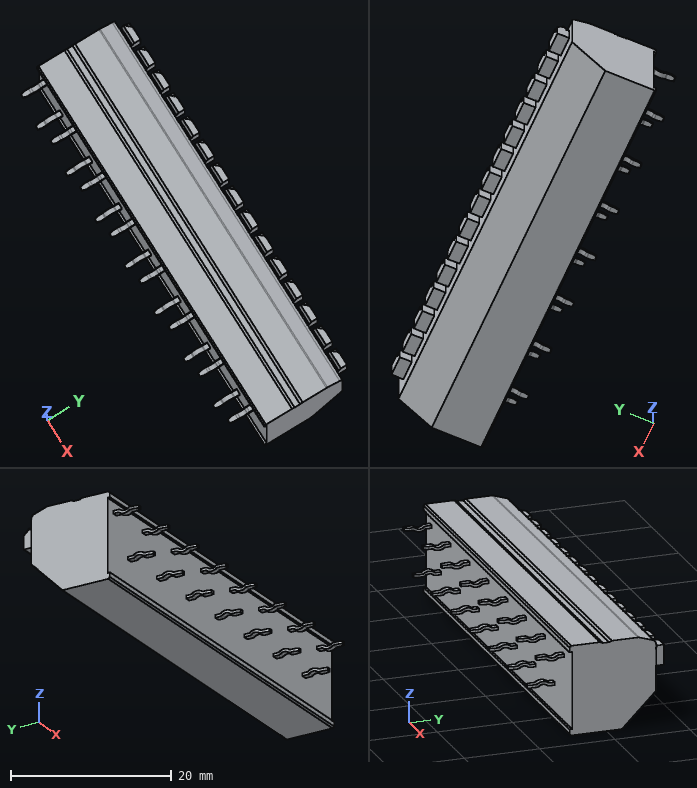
import cadquery as cq
import math

length = 54.0
height = 12.0
depth = 11.5
pole_count = 15
row_span = 49.0
pitch = row_span / (pole_count - 1)

rim_depth = 0.3
rim_height = 0.85
rim_edge_chamfer = 0.2
rear_chamfer = 4.55
brow_start = 9.2
brow_drop = 0.75
brow_rear_radius = 0.65
brow_front_radius = 0.55
groove_front = 4.05
groove_width = 1.55
groove_depth = 0.15
groove_wall_run = 0.4

lever_first_x = 2.15
lever_width = 2.65
lever_reach = 1.6
lever_bottom = 7.3
lever_neck_height = 2.15
lever_height = 2.7
lever_neck_length = 0.4
lever_step_run = 0.3
lever_corner_notch = 0.8

pin_first_x = 1.8
pin_width = 0.8
pin_thickness = 0.4
pin_reach = 3.3
pin_tip_width = 0.55
pin_tip_length = 0.6
pin_upper_z = 9.65
pin_row_spacing = 4.95
kink_start = 0.405
kink_half_length = 0.85
kink_blend_length = 0.2
kink_depth = 0.295

embed = 0.25


def long_edge(body, y, z):
    """Select the lengthwise edge at the given corner of the section."""
    return body.edges(cq.selectors.NearestToPointSelector((length / 2, y, z)))


def make_housing():
    groove_floor = height - groove_depth
    groove_rear = groove_front + groove_width
    outline = [
        (0, 0),
        (depth - rear_chamfer, 0),
        (depth, rear_chamfer),
        (depth, height - brow_drop),
        (brow_start, height),
        (groove_rear, height),
        (groove_rear - groove_wall_run, groove_floor),
        (groove_front + groove_wall_run, groove_floor),
        (groove_front, height),
        (0, height),
        (0, height - rim_height),
        (rim_depth, height - rim_height),
        (rim_depth, rim_height),
        (0, rim_height),
    ]
    housing = cq.Workplane("YZ").polyline(outline).close().extrude(length)
    housing = long_edge(housing, depth, height - brow_drop).fillet(brow_rear_radius)
    housing = long_edge(housing, brow_start, height).fillet(brow_front_radius)
    for rim_z in (0, height):
        housing = long_edge(housing, 0, rim_z).chamfer(rim_edge_chamfer)
    return housing


def make_lever():
    """Lever centred on X = 0, with a notch in its rear upper corner on the -X side."""
    tip = depth + lever_reach
    step = depth + lever_neck_length
    neck_top = lever_bottom + lever_neck_height
    top = lever_bottom + lever_height
    outline = [
        (depth - embed, lever_bottom),
        (tip, lever_bottom),
        (tip, top),
        (step + lever_step_run, top),
        (step, neck_top),
        (depth - embed, neck_top),
    ]
    lever = cq.Workplane("YZ").polyline(outline).close().extrude(lever_width / 2, both=True)

    left = -lever_width / 2
    floor_section = [(tip, top), (tip - lever_corner_notch, top), (tip, top - lever_corner_notch)]
    wall_plan = [(left, tip), (left + lever_corner_notch, tip), (left, tip - lever_corner_notch)]
    above_floor = cq.Workplane("YZ").polyline(floor_section).close().extrude(lever_width / 2, both=True)
    outside_wall = cq.Workplane("XY").polyline(wall_plan).close().extrude(top)
    return lever.cut(above_floor.intersect(outside_wall))


def make_pin():
    """Pin centred on X = 0, Z = 0 whose kink dips towards -Z."""
    kink_angle = 2 * math.atan(kink_depth / kink_half_length)
    dip_radius = (kink_half_length - kink_blend_length) / math.sin(kink_angle)
    blend_radius = kink_blend_length / math.sin(kink_angle)
    kink_middle = -kink_start - kink_half_length

    def side_points(offset):
        """Points of one side from root to tip, offset above the pin's centre line."""
        blend = blend_radius + offset
        dip = dip_radius - offset
        dip_centre_z = dip_radius - kink_depth

        def blend_point(angle):
            return kink_half_length - blend * math.sin(angle), blend * math.cos(angle) - blend_radius

        middle = blend_point(kink_angle / 2)
        end = blend_point(kink_angle)
        return [
            (kink_middle + kink_half_length, offset),
            (kink_middle + middle[0], middle[1]),
            (kink_middle + end[0], end[1]),
            (kink_middle, dip_centre_z - dip),
            (kink_middle - end[0], end[1]),
            (kink_middle - middle[0], middle[1]),
            (kink_middle - kink_half_length, offset),
        ]

    def trace(sketch, points):
        sketch = sketch.lineTo(*points[0])
        for i in range(1, len(points), 2):
            sketch = sketch.threePointArc(points[i], points[i + 1])
        return sketch

    half = pin_thickness / 2
    root = rim_depth + embed
    profile = cq.Workplane("YZ").moveTo(root, half)
    profile = trace(profile, side_points(half))
    profile = profile.lineTo(-pin_reach, half).lineTo(-pin_reach, -half)
    profile = trace(profile, side_points(-half)[::-1])
    pin = profile.lineTo(root, -half).close().extrude(pin_width / 2, both=True)

    shoulder = pin_tip_length - pin_reach
    plan = [
        (-pin_width / 2, root),
        (-pin_width / 2, shoulder),
        (-pin_tip_width / 2, -pin_reach),
        (pin_tip_width / 2, -pin_reach),
        (pin_width / 2, shoulder),
        (pin_width / 2, root),
    ]
    envelope = cq.Workplane("XY").polyline(plan).close().extrude(kink_depth + pin_thickness, both=True)
    return pin.intersect(envelope)


lever = make_lever()
upper_pin = make_pin()
lower_pin = upper_pin.mirror("XY")

result = make_housing()
for pole in range(pole_count):
    pole_x = pole * pitch
    result = result.union(lever.translate((lever_first_x + pole_x, 0, 0)))
    if pole % 2 == 0:
        pin = upper_pin.translate((pin_first_x + pole_x, 0, pin_upper_z))
    else:
        pin = lower_pin.translate((pin_first_x + pole_x, 0, pin_upper_z - pin_row_spacing))
    result = result.union(pin)